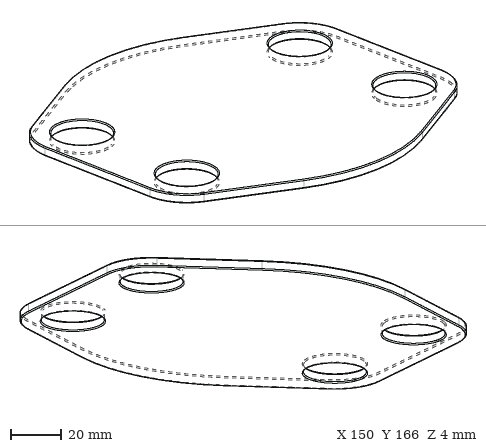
import cadquery as cq
import math

length = 166.0
width = 150.0
thickness = 4.0

hole_diameter = 25.0
hole_x = 29.2
hole_y = 62.0

edge_chamfer = 0.5

side_radius = width / 2
corner_radius = length / 2 - hole_y

center_distance = math.hypot(hole_x, hole_y)
center_angle = math.atan2(hole_y, hole_x)
flank_angle = center_angle - math.acos((side_radius - corner_radius) / center_distance)
corner_mid_angle = (flank_angle + math.pi / 2) / 2


def side_point(angle):
    """Point on the side arc, centered on the plate."""
    return side_radius * math.cos(angle), side_radius * math.sin(angle)


def corner_point(angle):
    """Point on the corner arc in the +X +Y quadrant."""
    return hole_x + corner_radius * math.cos(angle), hole_y + corner_radius * math.sin(angle)


def mirrored(point, x_sign, y_sign):
    return x_sign * point[0], y_sign * point[1]


def make_plate():
    side_end = side_point(flank_angle)
    corner_start = corner_point(flank_angle)
    corner_mid = corner_point(corner_mid_angle)
    corner_end = (hole_x, length / 2)

    outline = cq.Workplane("XY").moveTo(*mirrored(side_end, 1, -1))
    for sign in (1, -1):
        outline = (
            outline.threePointArc((sign * side_radius, 0), mirrored(side_end, sign, sign))
            .lineTo(*mirrored(corner_start, sign, sign))
            .threePointArc(mirrored(corner_mid, sign, sign), mirrored(corner_end, sign, sign))
            .lineTo(*mirrored(corner_end, -sign, sign))
            .threePointArc(mirrored(corner_mid, -sign, sign), mirrored(corner_start, -sign, sign))
            .lineTo(*mirrored(side_end, -sign, sign))
        )
    return outline.close().extrude(thickness)


def make_holes():
    return (
        cq.Workplane("XY")
        .rect(2 * hole_x, 2 * hole_y, forConstruction=True)
        .vertices()
        .circle(hole_diameter / 2)
        .extrude(thickness)
    )


plate = make_plate().cut(make_holes())
result = plate.faces("<Z or >Z").edges().chamfer(edge_chamfer)